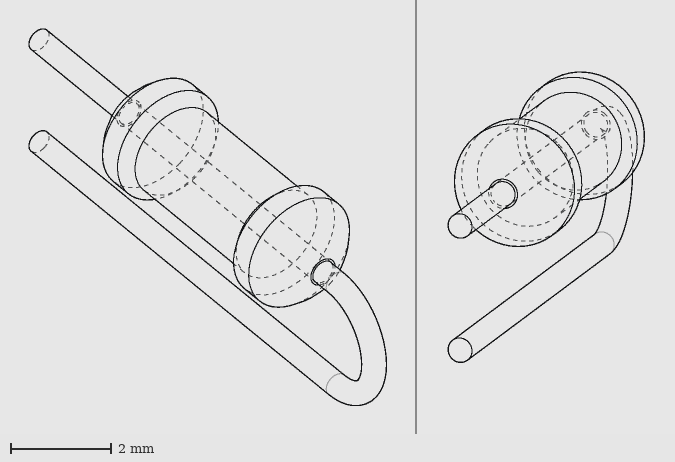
import cadquery as cq
import math

wire_diameter = 0.5
lead_pitch = 2.54
straight_length = 10.0
bend_radius = lead_pitch / 2

barrel_diameter = 2.0
cap_diameter = 2.5
body_length = 6.52
body_start = 3.03
dome_length = 0.8
dome_tip_radius = 0.3
dome_bulge = 0.07
band_length = 0.51

barrel_radius = barrel_diameter / 2
cap_radius = cap_diameter / 2
shoulder_length = cap_radius - barrel_radius

body_end = body_start + body_length


def dome_middle():
    """Distance from the body's end and radius of the middle of the dome arc."""
    rise = cap_radius - dome_tip_radius
    chord = math.hypot(dome_length, rise)
    distance = dome_length / 2 - dome_bulge * rise / chord
    radius = dome_tip_radius + rise / 2 + dome_bulge * dome_length / chord
    return distance, radius


def make_body():
    """Barrel with a domed cap at each end, bored through for the wire."""
    wire_radius = wire_diameter / 2
    middle_distance, middle_radius = dome_middle()
    band_inner = dome_length + band_length
    barrel_start = band_inner + shoulder_length
    profile = (
        cq.Workplane("XZ")
        .moveTo(body_start, wire_radius)
        .lineTo(body_start, dome_tip_radius)
        .threePointArc(
            (body_start + middle_distance, middle_radius),
            (body_start + dome_length, cap_radius),
        )
        .lineTo(body_start + band_inner, cap_radius)
        .lineTo(body_start + barrel_start, barrel_radius)
        .lineTo(body_end - barrel_start, barrel_radius)
        .lineTo(body_end - band_inner, cap_radius)
        .lineTo(body_end - dome_length, cap_radius)
        .threePointArc(
            (body_end - middle_distance, middle_radius),
            (body_end, dome_tip_radius),
        )
        .lineTo(body_end, wire_radius)
        .close()
    )
    turned = profile.revolve(360, (0, 0, 0), (1, 0, 0))
    return turned.translate((0, 0, lead_pitch))


def make_wire():
    """One round wire swept along the upper run, the U-bend and the lower run."""
    path = (
        cq.Workplane("XZ")
        .moveTo(0, lead_pitch)
        .lineTo(straight_length, lead_pitch)
        .threePointArc(
            (straight_length + bend_radius, bend_radius),
            (straight_length, 0),
        )
        .lineTo(0, 0)
    )
    section = cq.Workplane("YZ", origin=(0, 0, lead_pitch)).circle(wire_diameter / 2)
    return section.sweep(path)


body = make_body()
wire = make_wire()

result = cq.Compound.makeCompound([body.val(), wire.val()])